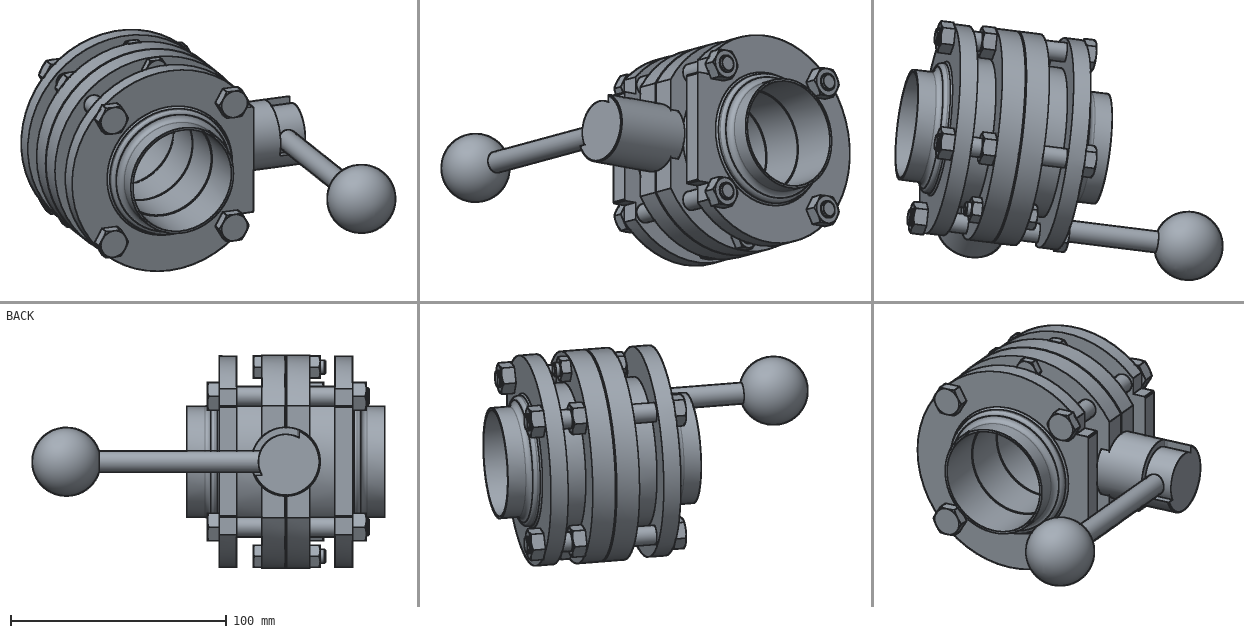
import cadquery as cq
import math


overall_length = 164.0
overall_depth = 132.5

pipe_half_length = 46.1
pipe_diameter = 51.7
pipe_bore = 49.5
valve_bore = 48.5

flange_diameter = 98.2
flange_inner_x = 22.8
flange_outer_x = 31.0
disc_diameter = 99.0
disc_outer_x = 11.2
parting_gap = 0.7
hub_diameter = 70.0
flat_y = 42.1
corner_notch_y = 35.6
corner_notch_z = 25.9

ferrule_root_diameter = 63.0
ferrule_diameter = 61.0
ferrule_root_x = 31.8
ferrule_shoulder_x = 33.0
ferrule_convex_radius = 2.0
ferrule_concave_radius = 2.8

flange_bolt_offset = 30.3
flange_bolt_diameter = 9.0
flange_bolt_tip_diameter = 8.0
flange_bolt_tip_length = 1.3
flange_nut_flats = 13.0
flange_nut_height = 6.4
flange_head_height = 5.4

disc_bolt_offset = 44.0
disc_bolt_diameter = 6.5
disc_bolt_tip_length = 2.6
disc_nut_flats = 10.3
disc_nut_height = 4.8
disc_head_height = 4.0

tip_chamfer = 0.7

stem_head_diameter = 32.0
stem_start_y = 37.7
stem_end_y = 75.8
stem_end_chamfer = 0.5
window_floor_diameter = 25.5
rod_diameter = 10.0
ball_diameter = 32.0
ball_x = overall_length - pipe_half_length - ball_diameter / 2
rod_y = overall_depth - disc_diameter / 2 - ball_diameter / 2
window_margin = 6.2
window_corner_radius = 1.0


def cylinder_x(diameter, x_start, x_end, y=0.0, z=0.0):
    """Cylinder along X between two X positions."""
    plane = cq.Workplane("YZ", origin=(x_start, y, z))
    return plane.circle(diameter / 2).extrude(x_end - x_start)


def cylinder_y(diameter, y_start, y_end):
    """Cylinder along Y, centred on the stem axis."""
    plane = cq.Workplane("XZ", origin=(0, y_start, 0))
    return plane.circle(diameter / 2).extrude(y_start - y_end)


def hexagon_x(flats, x_inner, x_outer, y, z):
    """Hexagon along X with flats facing Z, its corners bevelled at x_outer."""
    corners = flats / math.cos(math.pi / 6)
    height = x_outer - x_inner
    hexagon = cq.Workplane("YZ", origin=(x_inner, y, z)).polygon(6, corners).extrude(height)
    bevel = (corners - flats) / 2
    bevel_depth = bevel * math.tan(math.pi / 6)
    inward = math.copysign(bevel_depth, height)
    crown = (
        cq.Workplane("XY", origin=(0, y, z))
        .moveTo(x_inner, 0)
        .lineTo(x_inner, corners / 2)
        .lineTo(x_outer - inward, corners / 2)
        .lineTo(x_outer, flats / 2)
        .lineTo(x_outer, 0)
        .close()
        .revolve(360, (0, 0, 0), (1, 0, 0))
    )
    return hexagon.intersect(crown)


def threaded_tip(diameter, x_nut, length, y, z):
    """Chamfered bolt end that stands out of its nut toward -X."""
    return cylinder_x(diameter, x_nut, x_nut - length, y, z).faces("<X").chamfer(tip_chamfer)



def make_weld_end():
    """Pipe with its ferrule on the +X side, without the bore."""
    pipe_radius = pipe_diameter / 2
    ferrule_radius = ferrule_diameter / 2
    convex_x = ferrule_shoulder_x + ferrule_convex_radius
    concave_x = convex_x + ferrule_concave_radius
    diagonal = math.sqrt(0.5)
    convex_middle = (
        ferrule_shoulder_x + ferrule_convex_radius * diagonal,
        ferrule_radius - ferrule_convex_radius * (1 - diagonal),
    )
    concave_middle = (
        concave_x - ferrule_concave_radius * diagonal,
        pipe_radius + ferrule_concave_radius * (1 - diagonal),
    )
    return (
        cq.Workplane("XY")
        .moveTo(flange_inner_x, 0)
        .lineTo(flange_inner_x, ferrule_root_diameter / 2)
        .lineTo(flange_outer_x, ferrule_root_diameter / 2)
        .lineTo(ferrule_root_x, ferrule_radius)
        .lineTo(ferrule_shoulder_x, ferrule_radius)
        .threePointArc(convex_middle, (convex_x, ferrule_radius - ferrule_convex_radius))
        .lineTo(convex_x, pipe_radius + ferrule_concave_radius)
        .threePointArc(concave_middle, (concave_x, pipe_radius))
        .lineTo(pipe_half_length, pipe_radius)
        .lineTo(pipe_half_length, 0)
        .close()
        .revolve(360, (0, 0, 0), (1, 0, 0))
    )


def make_flange():
    """Outer flange on the +X side with a flat toward +Y and a notch at each end of the flat."""
    thickness = flange_outer_x - flange_inner_x
    middle_x = (flange_inner_x + flange_outer_x) / 2
    flange = cylinder_x(flange_diameter, flange_inner_x, flange_outer_x)
    flange = flange.cut(flat_cutter(flange_inner_x, flange_outer_x))
    notch_size = flange_diameter / 2
    for side in (-1, 1):
        notch = cq.Workplane("XY").box(thickness, notch_size, notch_size).translate(
            (middle_x, corner_notch_y + notch_size / 2, side * (corner_notch_z + notch_size / 2))
        )
        flange = flange.cut(notch)
    return flange


def flat_cutter(x_start, x_end):
    """Block that takes everything beyond the flat between two X positions."""
    block = cq.Workplane("XY").box(x_end - x_start, disc_diameter, disc_diameter)
    return block.translate(((x_start + x_end) / 2, flat_y + disc_diameter / 2, 0))


def make_disc(x_start, x_end):
    """Middle disc between two X positions, with its flat toward +Y."""
    return cylinder_x(disc_diameter, x_start, x_end).cut(flat_cutter(x_start, x_end))


def make_end_flange():
    """Flange with its weld end on the +X side."""
    end_flange = make_flange().union(make_weld_end())
    return end_flange.cut(cylinder_x(pipe_bore, flange_inner_x, pipe_half_length))


def make_valve_half():
    """Middle disc with its hub on the +X side of the parting gap."""
    half = make_disc(parting_gap / 2, disc_outer_x)
    half = half.union(cylinder_x(hub_diameter, disc_outer_x, flange_inner_x))
    return half.cut(cylinder_x(valve_bore, 0, flange_inner_x))



def make_flange_bolt(y, z):
    """Long bolt from head to tip; the ones on the -Y side also have a nut against the disc."""
    nut_x = -flange_outer_x - flange_nut_height
    bolt = cylinder_x(flange_bolt_diameter, nut_x, flange_outer_x, y, z)
    bolt = bolt.union(
        hexagon_x(flange_nut_flats, flange_outer_x, flange_outer_x + flange_head_height, y, z)
    )
    bolt = bolt.union(hexagon_x(flange_nut_flats, -flange_outer_x, nut_x, y, z))
    bolt = bolt.union(threaded_tip(flange_bolt_tip_diameter, nut_x, flange_bolt_tip_length, y, z))
    if y < 0:
        inner_nut = hexagon_x(
            flange_nut_flats, -disc_outer_x, -disc_outer_x - flange_nut_height, y, z
        )
        bolt = bolt.union(inner_nut)
    return bolt


def make_disc_bolt(z):
    """Short bolt that clamps the two middle discs."""
    nut_x = -disc_outer_x - disc_nut_height
    bolt = cylinder_x(disc_bolt_diameter, nut_x, disc_outer_x, 0, z)
    bolt = bolt.union(
        hexagon_x(disc_nut_flats, disc_outer_x, disc_outer_x + disc_head_height, 0, z)
    )
    bolt = bolt.union(hexagon_x(disc_nut_flats, -disc_outer_x, nut_x, 0, z))
    return bolt.union(threaded_tip(disc_bolt_diameter, nut_x, disc_bolt_tip_length, 0, z))


flange_bolts = [
    make_flange_bolt(side_y * flange_bolt_offset, side_z * flange_bolt_offset)
    for side_y in (-1, 1)
    for side_z in (-1, 1)
]
disc_bolts = [make_disc_bolt(side_z * disc_bolt_offset) for side_z in (-1, 1)]

right_flange = make_end_flange()
left_flange = right_flange.mirror("YZ")
right_half = make_valve_half()
left_half = right_half.mirror("YZ")

for bolt in flange_bolts:
    right_flange = right_flange.union(bolt)
    left_flange = left_flange.cut(bolt)
    right_half = right_half.cut(bolt)
    left_half = left_half.cut(bolt)

for bolt in disc_bolts:
    right_half = right_half.union(bolt)
    left_half = left_half.cut(bolt)



def make_window():
    """Square corner toward +X and +Z, taken off the stem head down to the window floor."""
    reach = stem_head_diameter
    bottom_y = rod_y - rod_diameter / 2
    window = (
        cq.Workplane("XZ", origin=(-window_margin, bottom_y, -window_margin))
        .rect(reach, reach, centered=False)
        .extrude(bottom_y - stem_end_y)
    )
    window = window.edges("<Y").fillet(window_corner_radius)
    return window.cut(cylinder_y(window_floor_diameter, bottom_y, stem_end_y))


def make_handle():
    """Stem head that straddles the middle discs, with the rod and ball reaching toward +X."""
    head = cylinder_y(stem_head_diameter, stem_start_y, stem_end_y)
    head = head.faces(">Y").chamfer(stem_end_chamfer)
    head = head.cut(make_window())
    head = head.cut(make_disc(-disc_outer_x, disc_outer_x))
    rod = cylinder_x(rod_diameter, 0, ball_x, rod_y, 0)
    ball = cq.Workplane("XY").sphere(ball_diameter / 2).rotate((0, 0, 0), (0, 1, 0), 90)
    ball = ball.translate((ball_x, rod_y, 0))
    return head.union(rod).union(ball)


handle = make_handle()

result = cq.Compound.makeCompound(
    [left_flange.val(), right_flange.val(), left_half.val(), right_half.val(), handle.val()]
)